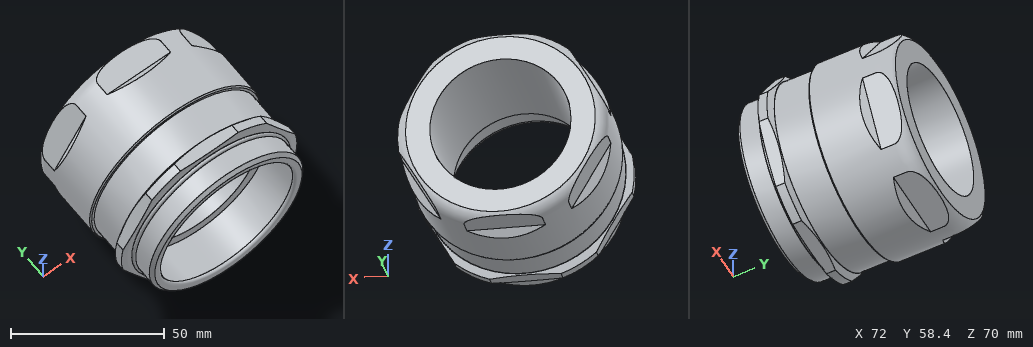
import cadquery as cq
import math

total_length = 58.4

spigot_radius = 63.0 / 2
spigot_chamfer = 1.3

ring_radius = 64.8 / 2
ring_start = 8.5

flange_start = 10.0
flange_end = 15.0
flange_radius = 72.0 / 2
flange_across_flats = 68.0
flange_lower_land_radius = 33.7
flange_lower_bevel = 0.3
flange_upper_land_radius = 33.6
flange_upper_bevel_angle = 30.0

sleeve_radius = 67.0 / 2

nut_start = 28.2
nut_radius = 70.0 / 2
nut_chamfer = 0.5
nut_crown_start = 52.9
nut_crown_radius = 6.0
nut_across_flats = 65.0
nut_flat_start = 48.0

passage_radius = 46.7 / 2
bore_radius = 55.0 / 2
bore_depth = 16.2
lip_crest_radius = 27.35
lip_round_radius = 1.05

flat_count = 6


def revolve_about_axis(profile):
    """Turn a closed (radius, Y) profile about the Y axis."""
    return profile.close().revolve(360, (0, 0, 0), (0, 1, 0))


def cylinder(radius, start, end):
    """A solid cylinder on the Y axis between two positions."""
    return revolve_about_axis(
        cq.Workplane("ZY").moveTo(0, start).lineTo(radius, start).lineTo(radius, end).lineTo(0, end)
    )


def hexagon(across_flats, start, end):
    """A hexagonal prism on the Y axis with flats facing +Z and -Z."""
    corner_diameter = across_flats / math.cos(math.pi / flat_count)
    return (
        cq.Workplane("XZ", origin=(0, start, 0))
        .polygon(flat_count, corner_diameter)
        .extrude(start - end)
    )


def make_spigot():
    """Threaded end, modelled plain, with a lead-in chamfer."""
    return cylinder(spigot_radius, 0, flange_start).faces("<Y").chamfer(spigot_chamfer)


def make_sealing_ring():
    """Ring with a half-round rim seated against the flange."""
    rim_radius = (flange_start - ring_start) / 2
    return revolve_about_axis(
        cq.Workplane("ZY")
        .moveTo(0, ring_start)
        .lineTo(ring_radius - rim_radius, ring_start)
        .threePointArc((ring_radius, ring_start + rim_radius), (ring_radius - rim_radius, flange_start))
        .lineTo(0, flange_start)
    )


def make_flange():
    """Hexagon with its corners turned down and both faces bevelled."""
    upper_bevel_width = flange_radius - flange_upper_land_radius
    upper_bevel = upper_bevel_width * math.tan(math.radians(flange_upper_bevel_angle))
    turned_blank = revolve_about_axis(
        cq.Workplane("ZY")
        .moveTo(0, flange_start)
        .lineTo(flange_lower_land_radius, flange_start)
        .lineTo(flange_radius, flange_start + flange_lower_bevel)
        .lineTo(flange_radius, flange_end - upper_bevel)
        .lineTo(flange_upper_land_radius, flange_end)
        .lineTo(0, flange_end)
    )
    return turned_blank.intersect(hexagon(flange_across_flats, flange_start, flange_end))


def make_flat_cutter():
    """Wedge above the +Z flat: level along the flat, then rising at 45 degrees."""
    flat_height = nut_across_flats / 2
    rise = 2 * (nut_radius - flat_height)
    return (
        cq.Workplane("YZ")
        .moveTo(total_length, flat_height)
        .lineTo(nut_flat_start, flat_height)
        .lineTo(nut_flat_start - rise, flat_height + rise)
        .lineTo(total_length, flat_height + rise)
        .close()
        .extrude(nut_radius, both=True)
    )


def make_nut():
    """Round nut with a domed crown and six wrench flats that run out at 45 degrees."""
    crown_height = total_length - nut_crown_start
    crown_center_radius = nut_radius - nut_crown_radius
    end_face_radius = crown_center_radius + math.sqrt(nut_crown_radius**2 - crown_height**2)
    half_angle = math.asin(crown_height / nut_crown_radius) / 2
    crown_middle = (
        crown_center_radius + nut_crown_radius * math.cos(half_angle),
        nut_crown_start + nut_crown_radius * math.sin(half_angle),
    )
    nut = revolve_about_axis(
        cq.Workplane("ZY")
        .moveTo(0, nut_start)
        .lineTo(nut_radius - nut_chamfer, nut_start)
        .lineTo(nut_radius, nut_start + nut_chamfer)
        .lineTo(nut_radius, nut_crown_start)
        .threePointArc(crown_middle, (end_face_radius, total_length))
        .lineTo(0, total_length)
    )
    flat_cutter = make_flat_cutter()
    for index in range(flat_count):
        angle = index * 360 / flat_count
        nut = nut.cut(flat_cutter.rotate((0, 0, 0), (0, 1, 0), angle))
    return nut


def make_passage():
    """Through hole with a wider bore at the threaded end, entered over a rounded, slightly narrower lip."""
    lip_center_radius = lip_crest_radius + lip_round_radius
    lip_overhang = lip_center_radius - bore_radius
    lip_end = lip_round_radius + math.sqrt(lip_round_radius**2 - lip_overhang**2)
    return revolve_about_axis(
        cq.Workplane("ZY")
        .lineTo(lip_center_radius, 0)
        .threePointArc((lip_crest_radius, lip_round_radius), (bore_radius, lip_end))
        .lineTo(bore_radius, bore_depth)
        .lineTo(passage_radius, bore_depth)
        .lineTo(passage_radius, total_length)
        .lineTo(0, total_length)
    )


sleeve = cylinder(sleeve_radius, flange_end, nut_start)
body = make_spigot().union(make_sealing_ring()).union(make_flange()).union(sleeve).union(make_nut())
result = body.cut(make_passage())